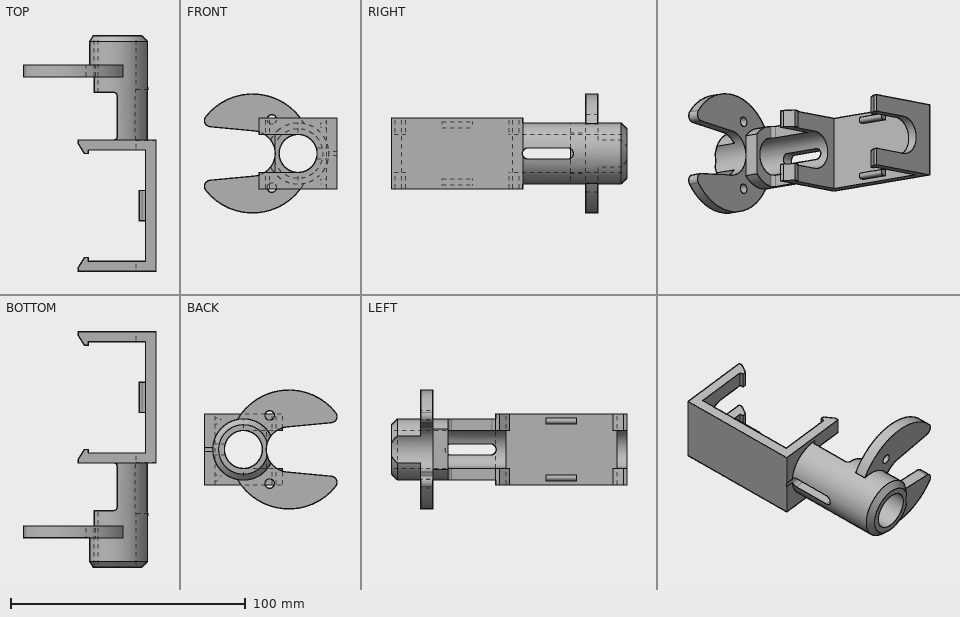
import cadquery as cq
import math


tube_radius = 13.05
bore_radius = 8.05
tube_length = 44.39
end_chamfer = 2.5

plate_radius = 25.38
plate_center_x = -19.4
plate_thickness = 5.2
plate_end_offset = 12.5
throat_radius = 9.6
mouth_angle = 5.4
tip_fillet = 2.7

head_length = 24.2
open_corner_fillet = 1.5

slot_width = 4.65
slot_length = 21.7
slot_start = -0.2

pin_hole_radius = 2.0
pin_hole_x = -11.2
pin_hole_z = 14.5

bracket_length = 56.0
bracket_height = 30.4
bracket_right = 16.6
bracket_width = 33.2
wall_thickness = 4.6
arm_thickness = 4.35

catch_depth = 1.55
catch_length = 4.4
catch_flat = 1.7
arm_tip_width = 1.6

rib_length = 13.0
rib_width = 2.6
rib_height = 2.6
rib_offset_z = 12.1

head_start = tube_length - head_length
plate_end = tube_length - plate_end_offset
plate_start = plate_end - plate_thickness
throat_edge_x = plate_center_x + throat_radius
bracket_left = bracket_right - bracket_width
bracket_mid_y = -bracket_length / 2
wall_face_x = bracket_right - wall_thickness


def rod(radius, y_start, y_end, x=0.0, z=0.0):
    """Cylinder parallel to Y."""
    axis_start = cq.Vector(x, y_start, z)
    return cq.Workplane(cq.Solid.makeCylinder(radius, y_end - y_start, axis_start, cq.Vector(0, 1, 0)))


def block(x_range, y_range, z_range):
    """Axis-aligned box given by its limits."""
    ranges = (x_range, y_range, z_range)
    sizes = [high - low for low, high in ranges]
    corner = [low for low, high in ranges]
    return cq.Workplane("XY").box(*sizes, centered=False).translate(tuple(corner))


def make_tube():
    """Chamfered tube with a flat on the head and its -X half removed next to the bracket.

    The opening has rounded corners at the head; at the bracket only the +Z wall has one.
    """
    tube = rod(tube_radius, 0, tube_length).faces(">Y").chamfer(end_chamfer)
    side = (-tube_radius, tube_radius)
    opening = block((-2 * tube_radius, 0), (0, head_start), side)
    opening = opening.edges(">X and >Y and |Z").fillet(open_corner_fillet)
    root_web = block((-open_corner_fillet, 0), (0, open_corner_fillet), (0, tube_radius))
    root_web = root_web.cut(
        cq.Workplane("XY", origin=(-open_corner_fillet, open_corner_fillet, 0))
        .circle(open_corner_fillet)
        .extrude(tube_radius)
    )
    opening = opening.cut(root_web)
    head_flat = block((-2 * tube_radius, throat_edge_x), (0, plate_start), side)
    return tube.cut(opening).cut(head_flat)


def make_plate():
    """Round plate whose tapered mouth opens toward -X, with rounded tips."""
    angle = math.radians(mouth_angle)
    tangent_x = plate_center_x + throat_radius * math.sin(angle)
    tangent_z = throat_radius * math.cos(angle)
    mouth_run = 2 * plate_radius
    outer_x = tangent_x - mouth_run
    outer_z = tangent_z + mouth_run * math.tan(angle)
    mouth = (
        cq.Workplane("XZ", origin=(0, plate_end, 0))
        .moveTo(outer_x, -outer_z)
        .lineTo(tangent_x, -tangent_z)
        .threePointArc((throat_edge_x, 0), (tangent_x, tangent_z))
        .lineTo(outer_x, outer_z)
        .close()
        .extrude(plate_thickness)
    )
    plate = rod(plate_radius, plate_start, plate_end, plate_center_x).cut(mouth)
    tip_zone = cq.selectors.BoxSelector(
        (plate_center_x - 2 * plate_radius, plate_start - 1, -plate_radius),
        (plate_center_x - plate_radius / 2, plate_end + 1, plate_radius),
    )
    return plate.edges("|Y").edges(tip_zone).fillet(tip_fillet)


def make_slot():
    """Round-ended slot through the +X wall of the tube."""
    return (
        cq.Workplane("YZ")
        .center(slot_start + slot_length / 2, 0)
        .slot2D(slot_length, slot_width)
        .extrude(2 * tube_radius)
    )


def make_bracket():
    """U-shaped clip with a hooked catch on each arm."""
    hook_x = bracket_left + catch_length
    ramp_x = hook_x - catch_flat
    half_profile = (
        cq.Workplane("XY", origin=(0, 0, -bracket_height / 2))
        .moveTo(bracket_right, 0)
        .lineTo(bracket_left, 0)
        .lineTo(bracket_left, -arm_tip_width)
        .lineTo(ramp_x, -arm_thickness - catch_depth)
        .lineTo(hook_x, -arm_thickness - catch_depth)
        .lineTo(hook_x, -arm_thickness)
        .lineTo(wall_face_x, -arm_thickness)
        .lineTo(wall_face_x, bracket_mid_y)
        .lineTo(bracket_right, bracket_mid_y)
        .close()
        .extrude(bracket_height)
    )
    return half_profile.union(half_profile.mirror("XZ", (0, bracket_mid_y, 0)))


def make_rib(z):
    """Round-topped rib on the inner face of the bracket wall."""
    y_range = (bracket_mid_y - rib_length / 2, bracket_mid_y + rib_length / 2)
    radius = rib_width / 2
    crest_x = wall_face_x - rib_height + radius
    base = block((crest_x, wall_face_x), y_range, (z - radius, z + radius))
    return base.union(rod(radius, *y_range, crest_x, z))


def make_part():
    part = make_tube().union(make_plate()).union(make_bracket())
    part = part.cut(rod(bore_radius, -bracket_length, tube_length))
    part = part.cut(rod(throat_radius, plate_start, tube_length, plate_center_x))
    part = part.cut(make_slot())
    arm_gap = block((bracket_left, 0), (-bracket_length, 0), (-bore_radius, bore_radius))
    part = part.cut(arm_gap)
    for side in (-1, 1):
        part = part.cut(rod(pin_hole_radius, plate_start, plate_end, pin_hole_x, side * pin_hole_z))
        part = part.union(make_rib(side * rib_offset_z))
    return part


result = make_part()